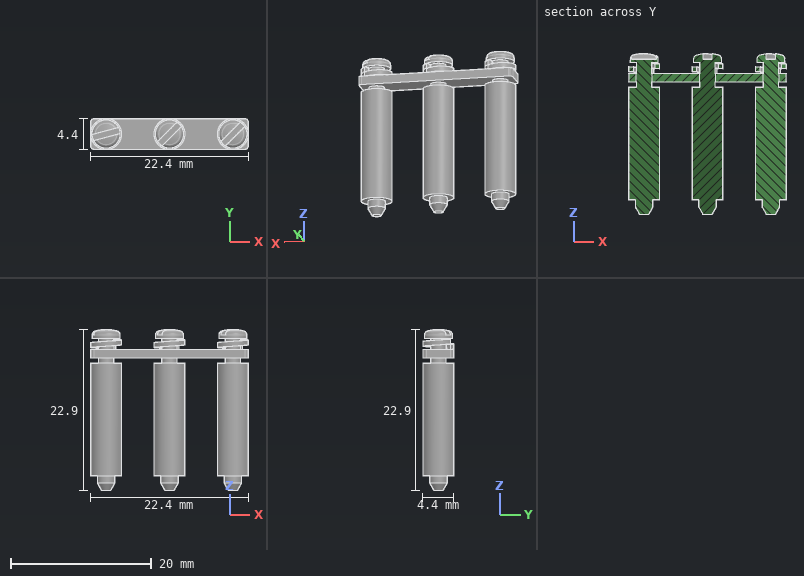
import cadquery as cq
import math


screw_pitch = 9.0
slot_angles = [15.0, 45.0, 45.0]
screw_xs = [(i - (len(slot_angles) - 1) / 2) * screw_pitch for i in range(len(slot_angles))]

sleeve_diameter = 4.4
shank_diameter = 2.2
pilot_diameter = 2.5
tip_diameter = 1.3
head_diameter = 4.0

cone_length = 1.05
pilot_length = 1.05
sleeve_length = 16.0
neck_gap = 0.7
rim_height = 0.5
dome_height = 0.82
dome_edge_radius = 0.64
slot_width = 0.9

bar_thickness = 1.25
bar_width = sleeve_diameter
bar_length = (len(slot_angles) - 1) * screw_pitch + sleeve_diameter
bar_corner_radius = 0.5

washer_outer_radius = sleeve_diameter / 2
washer_inner_radius = 1.5
washer_thickness = 0.7
washer_rise = 0.75
washer_gap_angle = 51.0
head_clearance = 0.08

pilot_bottom = cone_length
sleeve_bottom = pilot_bottom + pilot_length
sleeve_top = sleeve_bottom + sleeve_length
bar_bottom = sleeve_top + neck_gap
bar_top = bar_bottom + bar_thickness
head_bottom = bar_top + washer_thickness + washer_rise + head_clearance
dome_bottom = head_bottom + rim_height
head_top = dome_bottom + dome_height


def make_bar():
    """Flat bar with rounded corners and one shank hole per screw."""
    return (
        cq.Workplane("XY")
        .workplane(offset=bar_bottom)
        .rect(bar_length, bar_width)
        .extrude(bar_thickness)
        .edges("|Z")
        .fillet(bar_corner_radius)
        .faces(">Z")
        .workplane(origin=(0, 0, bar_top))
        .pushPoints([(x, 0) for x in screw_xs])
        .hole(shank_diameter)
    )


def make_screw(x, slot_angle):
    """Turned screw with sleeve, pilot tip and domed head, slotted across the dome."""
    head_radius = head_diameter / 2

    edge_centre = head_radius - dome_edge_radius
    crown_radius = (edge_centre**2 + dome_height**2 - dome_edge_radius**2) / (
        2 * (dome_height - dome_edge_radius)
    )
    crown_centre = head_top - crown_radius
    join_angle = math.asin(edge_centre / (crown_radius - dome_edge_radius))

    def crown_point(angle):
        return (crown_radius * math.sin(angle), crown_centre + crown_radius * math.cos(angle))

    edge_mid_angle = (join_angle + math.pi / 2) / 2
    edge_mid = (
        edge_centre + dome_edge_radius * math.sin(edge_mid_angle),
        dome_bottom + dome_edge_radius * math.cos(edge_mid_angle),
    )

    turned = (
        cq.Workplane("XZ")
        .moveTo(0, 0)
        .lineTo(tip_diameter / 2, 0)
        .lineTo(pilot_diameter / 2, pilot_bottom)
        .lineTo(pilot_diameter / 2, sleeve_bottom)
        .lineTo(sleeve_diameter / 2, sleeve_bottom)
        .lineTo(sleeve_diameter / 2, sleeve_top)
        .lineTo(shank_diameter / 2, sleeve_top)
        .lineTo(shank_diameter / 2, head_bottom)
        .lineTo(head_radius, head_bottom)
        .lineTo(head_radius, dome_bottom)
        .threePointArc(edge_mid, crown_point(join_angle))
        .threePointArc(crown_point(join_angle / 2), (0, head_top))
        .close()
        .revolve(360, (0, 0, 0), (0, 1, 0))
    )
    slot = (
        cq.Workplane("XY")
        .workplane(offset=dome_bottom)
        .rect(head_diameter, slot_width)
        .extrude(dome_height)
    )
    screw = turned.cut(slot)
    return screw.rotate((0, 0, 0), (0, 0, 1), slot_angle).translate((x, 0, 0))


def make_spring_washer(x):
    """Split washer rising one turn from the bar towards the screw head."""
    mean_radius = (washer_outer_radius + washer_inner_radius) / 2
    helix = cq.Workplane(cq.Wire.makeHelix(washer_rise, washer_rise, mean_radius))
    washer = (
        cq.Workplane("XZ")
        .center(mean_radius, washer_thickness / 2)
        .rect(washer_outer_radius - washer_inner_radius, washer_thickness)
        .sweep(helix, isFrenet=True)
    )
    return washer.rotate((0, 0, 0), (0, 0, 1), washer_gap_angle).translate((x, 0, bar_top))


bar = make_bar()
screws = [make_screw(x, angle) for x, angle in zip(screw_xs, slot_angles)]
washers = [make_spring_washer(x) for x in screw_xs]

result = cq.Compound.makeCompound(
    [bar.val()] + [screw.val() for screw in screws] + [washer.val() for washer in washers]
)